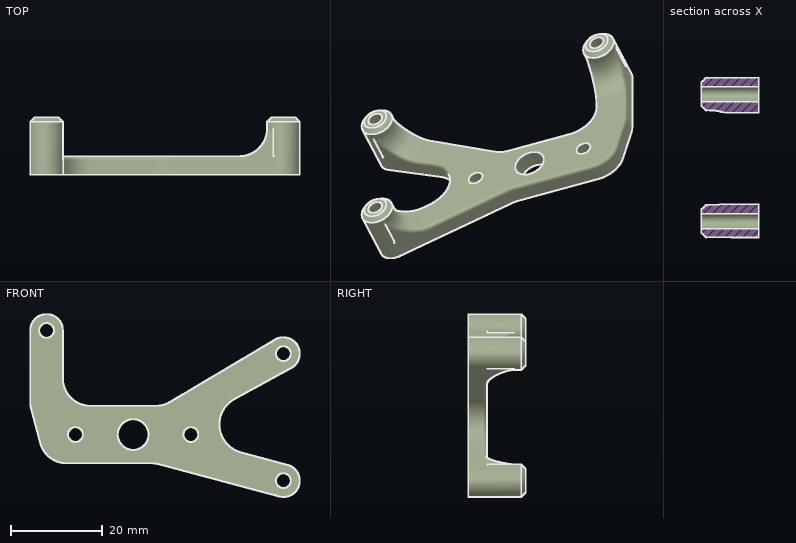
import cadquery as cq
import math

post_length = 12.7
plate_thickness = 4.15
half_width = 6.35
post_radius = 3.6
post_chamfer = 1.0
flare_radius = 6.0
edge_round = 0.9

bore_diameter = 6.7
hole_diameter = 3.2
hole_spacing = 12.7

left_post = (-19.0, 22.9)
upper_post = (33.0, 17.8)
lower_post = (33.0, -10.15)

corner_radius = 6.0
crotch_radius = 6.35
slant_angle = 15
upper_arm_angle = 30.7
inner_arm_angle = 28.7
lower_arm_angle = 15

arms = [
    (left_post, -90),
    (upper_post, 180 + (upper_arm_angle + inner_arm_angle) / 2),
    (lower_post, 180 - lower_arm_angle),
]

tip_inset = 0.005
flare_start = 0.5

tip_radius = post_radius - tip_inset
flare_top = plate_thickness + flare_radius
foot_radius = post_radius + flare_radius


def rim_point(post, angle):
    """Point on the arm tip around a post, at an angle in degrees from +X."""
    turn = math.radians(angle)
    return (post[0] + tip_radius * math.cos(turn), post[1] + tip_radius * math.sin(turn))


def line_at_height(point, angle, z):
    """Point at height z on the line through a point, sloped at an angle from +X."""
    return (point[0] + (z - point[1]) / math.tan(math.radians(angle)), z)


def crossing(first, first_angle, second, second_angle):
    """Crossing of two sloped lines."""
    slope_1 = math.tan(math.radians(first_angle))
    slope_2 = math.tan(math.radians(second_angle))
    x = (second[1] - first[1] + slope_1 * first[0] - slope_2 * second[0]) / (slope_1 - slope_2)
    return (x, first[1] + slope_1 * (x - first[0]))


def make_outline_prism(depth):
    """Bracket outline with its rounded corners, extruded from Y = 0 toward +Y."""
    left_top = rim_point(left_post, 180)
    left_inner = rim_point(left_post, 0)
    upper_outer = rim_point(upper_post, 90 + upper_arm_angle)
    upper_inner = rim_point(upper_post, inner_arm_angle - 90)
    lower_inner = rim_point(lower_post, 90 - lower_arm_angle)
    lower_outer = rim_point(lower_post, -90 - lower_arm_angle)

    slant_top = (left_top[0], half_width)
    slant_foot = line_at_height(slant_top, slant_angle - 90, -half_width)
    left_crook = (left_inner[0], half_width)
    upper_bend = line_at_height(upper_outer, upper_arm_angle, half_width)
    crotch = crossing(upper_inner, inner_arm_angle, lower_inner, -lower_arm_angle)
    lower_bend = line_at_height(lower_outer, -lower_arm_angle, -half_width)

    prism = (
        cq.Workplane("XZ")
        .moveTo(*slant_top)
        .lineTo(*left_top)
        .threePointArc(rim_point(left_post, 90), left_inner)
        .lineTo(*left_crook)
        .lineTo(*upper_bend)
        .lineTo(*upper_outer)
        .threePointArc(rim_point(upper_post, 0), upper_inner)
        .lineTo(*crotch)
        .lineTo(*lower_inner)
        .threePointArc(rim_point(lower_post, 0), lower_outer)
        .lineTo(*lower_bend)
        .lineTo(*slant_foot)
        .close()
        .extrude(-depth)
    )
    rounds = [
        (slant_top, corner_radius),
        (slant_foot, corner_radius),
        (left_crook, corner_radius),
        (upper_bend, corner_radius),
        (lower_bend, corner_radius),
        (crotch, crotch_radius),
    ]
    for (x, z), radius in rounds:
        corner = cq.selectors.NearestToPointSelector((x, depth / 2, z))
        prism = prism.edges(corner).fillet(radius)
    return prism


def make_flare(post, arm_angle):
    """Concave quarter-round skirt around a post, kept only on the side facing its arm."""
    mid_offset = flare_radius * math.sqrt(0.5)
    skirt = (
        cq.Workplane("XY")
        .lineTo(foot_radius, 0)
        .lineTo(foot_radius, plate_thickness)
        .threePointArc((foot_radius - mid_offset, flare_top - mid_offset), (post_radius, flare_top))
        .lineTo(0, flare_top)
        .close()
        .revolve(360, (0, 0, 0), (0, 1, 0))
    )
    arm_side = (
        cq.Workplane("XY")
        .box(2 * foot_radius, 2 * flare_top, 2 * foot_radius)
        .translate((flare_start + foot_radius, 0, 0))
    )
    facing = skirt.intersect(arm_side).rotate((0, 0, 0), (0, 1, 0), -arm_angle)
    return facing.translate((post[0], 0, post[1]))


def is_rim_edge(edge):
    """True for back edges along the outline, except at the posts and the feet of the flares."""
    tolerance = 0.005
    box = edge.BoundingBox()
    if abs(box.ymin - plate_thickness) > tolerance:
        return False
    middle = edge.positionAt(0.5)
    for post, _ in arms:
        distance = math.hypot(middle.x - post[0], middle.z - post[1])
        at_post = distance < 1.1 * post_radius
        at_foot = abs(distance - foot_radius) < tolerance
        if at_post or at_foot:
            return False
    return True


def make_flared_plate():
    """Plate and flares trimmed to the outline, with the back rim rounded."""
    envelope = make_outline_prism(flare_top)
    plate = make_outline_prism(plate_thickness)
    for post, arm_angle in arms:
        plate = plate.union(envelope.intersect(make_flare(post, arm_angle)))
    rim = [edge for edge in plate.edges().vals() if is_rim_edge(edge)]
    return plate.newObject(rim).fillet(edge_round)


def make_post(post):
    """Round post with a chamfered back end."""
    return (
        cq.Workplane("XZ")
        .center(*post)
        .circle(post_radius)
        .extrude(-post_length)
        .faces(">Y")
        .chamfer(post_chamfer)
    )


def make_holes(centers, diameter):
    """Through holes along Y."""
    return cq.Workplane("XZ").pushPoints(centers).circle(diameter / 2).extrude(-post_length)


bracket = make_flared_plate()
for post, _ in arms:
    bracket = bracket.union(make_post(post))

small_holes = [post for post, _ in arms] + [(-hole_spacing, 0), (hole_spacing, 0)]
bracket = bracket.cut(make_holes(small_holes, hole_diameter))
bracket = bracket.cut(make_holes([(0, 0)], bore_diameter))

result = cq.Workplane("XY").newObject([bracket.solids().val()])